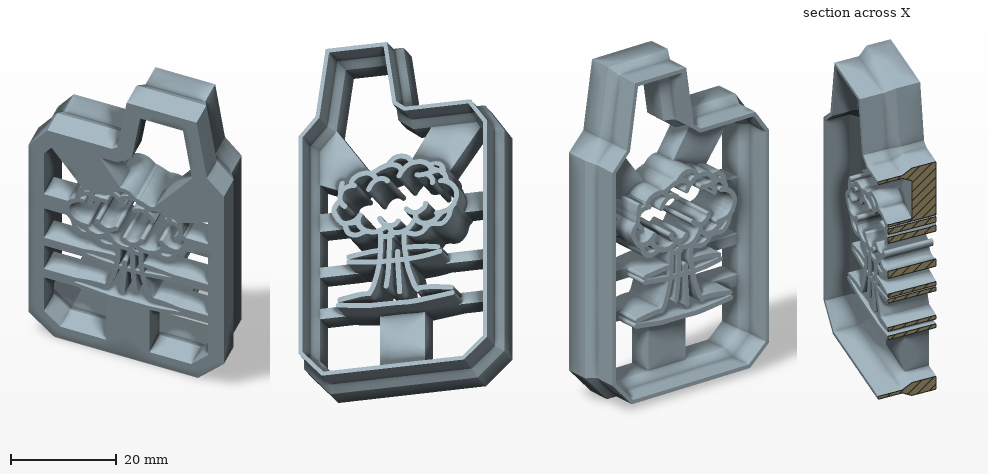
import cadquery as cq
import math


WIDTH = 39.95
HEIGHT = 68.41
DEPTH = 12.0
BASE_DEPTH = 5.0
SLOPE_DEPTH = 2.0
BASE_WALL = 3.2
SLOPE_INSET = 1.2
TREE_DEPTH = 10.0
LINE_WIDTH = 1.0
SAMPLES_PER_SPAN = 2

HALF_WIDTH = WIDTH / 2
RIB_OVERLAP = 1.5
RIB_END = HALF_WIDTH - BASE_WALL + RIB_OVERLAP

SHOULDER_Z = 54.9
FRAME_OUTLINE = [
    (14.7, 0),
    (HALF_WIDTH, 5.7),
    (HALF_WIDTH, 50.6),
    (16.5, 54.35),
    (14.4, HEIGHT),
    (0.1, HEIGHT),
    (-1.8, 55.7),
    (-2.9, SHOULDER_Z),
    (-16.1, SHOULDER_Z),
    (-HALF_WIDTH, 49.5),
    (-HALF_WIDTH, 4.75),
    (-14.65, 0),
]

RIBS = [
    (-RIB_END, -11.8, 33.7, 37.55),
    (11.9, RIB_END, 33.05, 36.65),
    (-RIB_END, -8.3, 23.75, 25.85),
    (9.1, RIB_END, 23.75, 25.85),
    (-RIB_END, -10.6, 15.2, 17.5),
    (10.9, RIB_END, 15.4, 17.5),
    (-4.15, 4.8, BASE_WALL - RIB_OVERLAP, 15.1),
]

LEFT_ARM = [
    (-5.4, 51.65),
    (-5.4, 52.65),
    (-14.6, 52.65),
    (-16.0, 51.65),
    (-9.05, 42.25),
    (-8.5, 41.95),
    (-6.3, 42.45),
    (-4.5, 42.95),
    (-2.9, 43.25),
    (-2.0, 44.45),
    (-1.2, 45.1),
]
RIGHT_ARM = [
    (5.55, 42.25),
    (5.4, 41.85),
    (7.5, 41.55),
    (8.8, 40.65),
    (10.5, 40.1),
    (11.25, 40.25),
    (RIB_END, 43.15),
    (RIB_END, 50.15),
    (14.8, 54.95),
]

CROWN_LINES = [
    [(-8.9, 38.7), (-9.9, 38.5), (-10.9, 37.9), (-11.75, 36.9), (-12.1, 35.6),
     (-11.85, 34.5), (-11.2, 33.4), (-10.3, 32.7), (-9.0, 32.35), (-8.1, 32.3)],
    [(-11.6, 33.7), (-10.8, 32.4), (-10.55, 31.5), (-9.9, 30.6), (-9.2, 30.1), (-8.0, 30.1), (-6.5, 30.1)],
    [(-8.1, 32.3), (-8.3, 31.6), (-7.6, 30.9), (-6.6, 30.55), (-5.5, 30.5), (-4.6, 30.9), (-3.9, 31.7)],
    [(-9.1, 32.3), (-8.3, 31.5), (-7.5, 30.7)],
    [(-5.85, 34.45), (-5.7, 33.8), (-5.1, 33.3), (-4.6, 33.0), (-3.85, 32.85), (-3.0, 33.1), (-2.05, 33.8)],
    [(-3.85, 32.8), (-3.85, 31.8), (-3.4, 31.0), (-2.8, 30.2), (-2.0, 29.6), (-1.2, 29.3), (0.6, 29.3)],
    [(-6.6, 30.1), (-6.1, 29.7), (-5.6, 29.1), (-5.0, 28.7), (-4.0, 28.5), (-3.0, 28.7), (-1.7, 29.3)],
    [(-6.6, 30.2), (-5.75, 29.8)],
    [(-0.4, 31.5), (0.2, 30.95), (1.0, 30.75), (1.9, 31.0), (2.7, 31.6), (3.25, 32.5)],
    [(1.7, 30.6), (1.0, 29.8), (0.9, 29.3)],
    [(2.0, 30.6), (2.7, 30.3), (3.5, 29.95), (5.0, 29.95), (6.0, 30.3), (6.9, 31.0), (7.5, 31.9),
     (7.5, 32.7), (7.15, 33.6)],
    [(7.2, 33.6), (7.8, 32.95), (8.6, 32.45), (9.6, 32.25), (10.6, 32.4), (11.4, 33.1), (12.0, 34.1),
     (12.35, 35.1), (12.05, 36.0), (11.5, 36.7)],
    [(7.5, 32.2), (8.2, 32.2), (9.4, 32.2)],
    [(5.0, 29.95), (6.5, 30.05), (7.2, 29.8), (7.9, 29.65), (8.8, 29.85), (9.5, 30.3), (9.9, 31.0),
     (10.1, 31.7), (10.8, 32.4)],
    [(10.2, 35.7), (10.7, 36.2), (11.1, 36.9), (11.1, 38.1), (10.85, 38.8), (10.2, 39.4), (9.3, 39.7),
     (8.3, 39.7)],
    [(11.0, 38.3), (10.95, 39.6), (10.7, 40.45)],
    [(4.4, 41.25), (5.1, 41.75), (6.3, 41.95), (7.6, 41.65), (8.4, 41.15), (8.85, 40.55), (8.7, 39.9)],
    [(1.7, 39.9), (2.4, 40.4), (3.6, 40.45), (4.4, 40.05), (5.0, 39.4), (5.45, 38.6)],
    [(3.9, 40.55), (4.4, 41.25), (4.8, 41.85)],
    [(-3.0, 43.35), (-2.2, 44.25), (-1.2, 44.55), (0.0, 44.5), (0.9, 43.9), (1.9, 43.0), (3.0, 42.65),
     (4.0, 42.15), (5.2, 41.75)],
    [(-6.95, 40.95), (-6.9, 41.65), (-6.1, 42.55), (-5.0, 43.0), (-3.4, 43.0), (-2.4, 42.65), (-1.6, 41.95),
     (-0.9, 41.15), (-0.65, 40.65)],
    [(-0.6, 40.65), (-0.95, 41.3), (-1.0, 42.0), (-0.5, 42.6), (0.4, 43.0), (2.4, 42.9)],
    [(-4.2, 40.45), (-6.0, 40.45), (-7.4, 40.75), (-8.6, 40.85), (-9.4, 40.35), (-9.85, 39.5), (-10.1, 38.6)],
    [(-7.3, 38.5), (-7.2, 39.3), (-6.7, 40.0), (-6.0, 40.45)],
    [(-9.3, 40.25), (-9.4, 41.05), (-8.8, 41.95), (-7.5, 42.25), (-6.6, 42.05)],
    [(-8.6, 41.25), (-7.0, 41.15)],
]

TRUNK_LINES = [
    [(-1.7, 29.1), (-1.7, 26.0), (-2.0, 24.0), (-2.35, 22.0), (-3.0, 20.0), (-3.8, 18.0), (-4.35, 17.25)],
    [(3.05, 29.4), (3.05, 26.5), (3.2, 24.5), (3.6, 22.0), (4.15, 20.0), (5.0, 18.0), (5.4, 17.5)],
    [(-0.3, 25.4), (-0.3, 24.0), (-0.45, 22.0), (-0.55, 20.0), (-0.7, 18.0), (-0.75, 17.2)],
    [(1.25, 29.1), (1.3, 26.5), (1.4, 24.0), (1.6, 21.0), (1.75, 20.0), (1.95, 18.65)],
    [(0.8, 28.7), (3.0, 28.7)],
    [(-1.8, 26.0), (-5.0, 25.9), (-8.3, 25.4)],
    [(3.2, 26.0), (5.0, 25.95), (8.2, 25.55), (9.4, 25.4)],
    [(-8.7, 24.45), (-6.0, 23.95), (-2.3, 23.65)],
    [(-2.3, 23.65), (3.9, 23.7)],
    [(3.9, 23.7), (6.0, 23.95), (8.3, 24.3), (9.4, 24.4)],
    [(-4.4, 17.55), (-7.0, 17.5), (-9.0, 17.25), (-11.0, 16.9)],
    [(5.3, 17.5), (7.0, 17.55), (9.0, 17.3), (11.2, 16.95)],
    [(-11.2, 15.8), (-9.0, 15.5), (-6.0, 15.2), (-3.5, 14.95), (0.0, 15.05), (5.0, 15.05), (7.5, 15.3),
     (9.5, 15.6), (11.5, 15.9)],
]

LEAF_SLITS = [
    ((-8.5, 41.5), (-7.7, 41.9), 0.35),
    ((9.4, 40.75), (10.0, 40.2), 0.35),
]


def front_plane(y=0.0):
    """XZ workplane at depth y; a negative extrusion runs towards the back."""
    return cq.Workplane("XZ", origin=(0, y, 0))


def inset(points, distance):
    """Counterclockwise polygon with every side moved inwards by the distance, corners kept sharp."""
    moved = []
    for i, (x, z) in enumerate(points):
        x_before, z_before = points[i - 1]
        x_after, z_after = points[(i + 1) % len(points)]
        angle_in = math.atan2(z - z_before, x - x_before)
        angle_out = math.atan2(z_after - z, x_after - x)
        half_turn = (angle_out - angle_in) / 2
        normal = angle_in + half_turn + math.pi / 2
        reach = distance / math.cos(half_turn)
        moved.append((x + reach * math.cos(normal), z + reach * math.sin(normal)))
    return moved


def stepped_body(front_inset, back_inset):
    """Frame outline at one inset in front and another at the back, with a slope between."""
    front = inset(FRAME_OUTLINE, front_inset)
    back = inset(FRAME_OUTLINE, back_inset)
    slope_end = BASE_DEPTH + SLOPE_DEPTH
    base = front_plane().polyline(front).close().extrude(-BASE_DEPTH)
    slope = (
        front_plane(BASE_DEPTH)
        .polyline(front)
        .close()
        .workplane(offset=-SLOPE_DEPTH)
        .polyline(back)
        .close()
        .loft(ruled=True)
    )
    rear = front_plane(slope_end).polyline(back).close().extrude(slope_end - DEPTH)
    return base.union(slope).union(rear)


def make_frame():
    outside = stepped_body(0, SLOPE_INSET)
    inside = stepped_body(BASE_WALL, BASE_WALL - SLOPE_INSET)
    return outside.cut(inside)


def make_ribs():
    ribs = front_plane().polyline(LEFT_ARM).close().extrude(-BASE_DEPTH)
    ribs = ribs.union(front_plane().polyline(RIGHT_ARM).close().extrude(-BASE_DEPTH))
    for left, right, bottom, top in RIBS:
        rib = (
            front_plane()
            .center((left + right) / 2, (bottom + top) / 2)
            .rect(right - left, top - bottom)
            .extrude(-BASE_DEPTH)
        )
        ribs = ribs.union(rib)
    return ribs


def make_line(points):
    """Wall of constant width along a smooth line, with round ends, from the front to the tree depth."""
    half = LINE_WIDTH / 2
    centre = cq.Edge.makeSpline([cq.Vector(x, z, 0) for x, z in points])
    count = SAMPLES_PER_SPAN * (len(points) - 1)
    left = []
    right = []
    for i in range(count + 1):
        place = centre.positionAt(i / count)
        along = centre.tangentAt(i / count)
        left.append((place.x - half * along.y, place.y + half * along.x))
        right.append((place.x + half * along.y, place.y - half * along.x))
    start = centre.startPoint() - centre.tangentAt(0) * half
    end = centre.endPoint() + centre.tangentAt(1) * half
    return (
        front_plane()
        .spline(left)
        .threePointArc((end.x, end.y), right[-1])
        .spline(right[-2::-1], includeCurrent=True)
        .threePointArc((start.x, start.y), left[0])
        .close()
        .extrude(-TREE_DEPTH)
    )


def make_tree():
    tree = make_line(CROWN_LINES[0])
    for points in CROWN_LINES[1:] + TRUNK_LINES:
        tree = tree.union(make_line(points), clean=False)
    return tree


def make_slit(start, end, width):
    length = math.dist(start, end) + width
    angle = math.degrees(math.atan2(end[1] - start[1], end[0] - start[0]))
    return (
        front_plane()
        .center((start[0] + end[0]) / 2, (start[1] + end[1]) / 2)
        .slot2D(length, width, angle)
        .extrude(-DEPTH)
    )


result = make_frame().union(make_ribs()).union(make_tree())
for slit_start, slit_end, slit_width in LEAF_SLITS:
    result = result.cut(make_slit(slit_start, slit_end, slit_width))